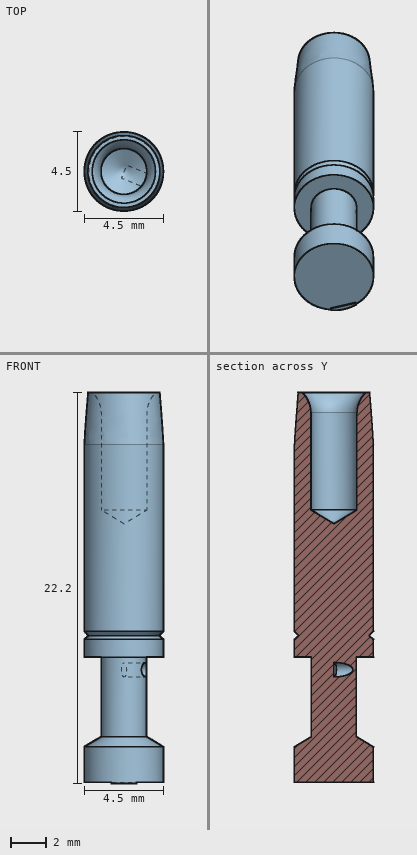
import cadquery as cq
import math

length = 22.2
body_diameter = 4.5
stem_diameter = 2.6
body_radius = body_diameter / 2
stem_radius = stem_diameter / 2

foot_bottom = 0.07
foot_top = 2.09
stem_bottom = 2.66
collar_bottom = 7.17
collar_top = 8.2
groove_middle = 8.4
sleeve_bottom = 8.64
groove_depth = 0.25

nose_bottom = 19.27
nose_tip_radius = 2.05
nose_bulge = 0.01

mouth_radius = 1.8
bore_diameter = 2.6
bore_radius = bore_diameter / 2
funnel_depth = 1.13
funnel_bulge = 0.13
bore_depth = 6.65
drill_angle = 118.0

cross_hole_diameter = 0.8
cross_hole_drop = 0.7
cross_hole_angle = -22.0

lug_width = 1.45
lug_depth = 0.25


def bulged_midpoint(start, end, bulge):
    """Middle of a chord, shifted outward (+radius) by the bulge."""
    return ((start[0] + end[0]) / 2 + bulge, (start[1] + end[1]) / 2)


def make_body():
    """Revolve the outer outline of foot, stem, collar and sleeve."""
    nose_start = (body_radius, nose_bottom)
    nose_end = (nose_tip_radius, length)
    outline = (
        cq.Workplane("XZ")
        .moveTo(0, foot_bottom)
        .lineTo(body_radius, foot_bottom)
        .lineTo(body_radius, foot_top)
        .lineTo(stem_radius, stem_bottom)
        .lineTo(stem_radius, collar_bottom)
        .lineTo(body_radius, collar_bottom)
        .lineTo(body_radius, collar_top)
        .lineTo(body_radius - groove_depth, groove_middle)
        .lineTo(body_radius, sleeve_bottom)
        .lineTo(*nose_start)
        .threePointArc(bulged_midpoint(nose_start, nose_end, nose_bulge), nose_end)
        .lineTo(0, length)
        .close()
    )
    return outline.revolve(360, (0, 0, 0), (0, 1, 0))


def make_socket():
    """Revolve the socket: the funnel wall bulges toward the axis."""
    mouth = (mouth_radius, length)
    funnel_end = (bore_radius, length - funnel_depth)
    bore_bottom = length - bore_depth
    cone_height = bore_radius / math.tan(math.radians(drill_angle / 2))
    outline = (
        cq.Workplane("XZ")
        .moveTo(0, length)
        .lineTo(*mouth)
        .threePointArc(bulged_midpoint(mouth, funnel_end, -funnel_bulge), funnel_end)
        .lineTo(bore_radius, bore_bottom)
        .lineTo(0, bore_bottom - cone_height)
        .close()
    )
    return outline.revolve(360, (0, 0, 0), (0, 1, 0))


def make_cross_hole():
    """Radial cylinder from the stem axis outward."""
    return (
        cq.Workplane("YZ")
        .circle(cross_hole_diameter / 2)
        .extrude(body_radius)
        .rotate((0, 0, 0), (0, 0, 1), cross_hole_angle)
        .translate((0, 0, collar_bottom - cross_hole_drop))
    )


def make_lug():
    """Thin block at the -Y edge, trimmed to the round of the foot."""
    block = cq.Workplane("XY").box(lug_width, 2 * lug_depth, foot_top, centered=(True, True, False))
    block = block.translate((0, -body_radius, 0))
    foot_round = cq.Workplane("XY").circle(body_radius).extrude(foot_top)
    return block.intersect(foot_round)


result = make_body().union(make_lug()).cut(make_socket()).cut(make_cross_hole())